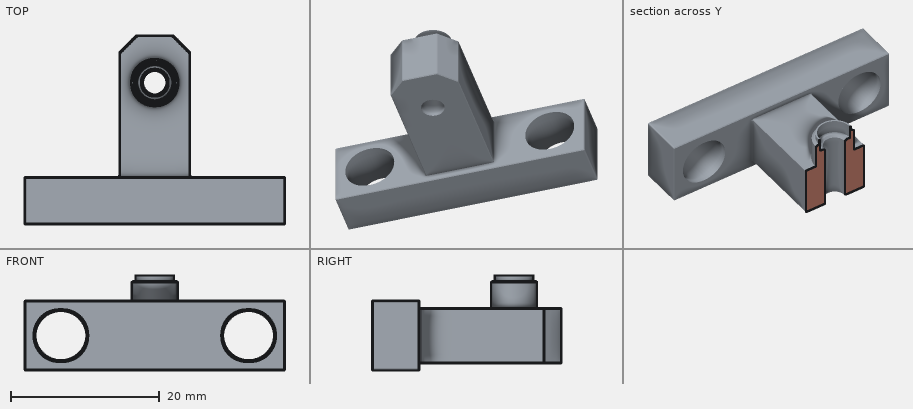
import cadquery as cq

BAR_LENGTH = 34.92
BAR_DEPTH = 6.35
BAR_HEIGHT = 9.37
BAR_CORNER_RADIUS = 0.2
EDGE_BREAK = 0.11

TOTAL_DEPTH = 25.4
ARM_WIDTH = 9.525
ARM_HEIGHT = 7.42
ARM_TIP_CHAMFER = 2.33
TIP_CORNER_BREAK = 0.06
ARM_ROOT_RADIUS = 0.25

SLOT_END_INSET = 4.86
SLOT_DIAMETER = 6.6
SLOT_STRETCH = 0.25
SLOT_CHAMFER = 0.25
CHAMFER_ANGLE = 45

TOTAL_HEIGHT = 12.78
BUSHING_TIP_INSET = 6.35
BUSHING_RADIUS = 3.1
BUSHING_CHAMFER_WIDTH = 0.29
BUSHING_CHAMFER_HEIGHT = 0.18
COLLAR_RADIUS = 2.6
COLLAR_HEIGHT = 0.76
COUNTERBORE_RADIUS = 2.38
COUNTERBORE_DEPTH = 1.95
BORE_RADIUS = 1.59
BORE_CHAMFER = 0.28
SEAT_BEVEL = 0.08

SLOT_X = BAR_LENGTH / 2 - SLOT_END_INSET
SLOT_LENGTH = SLOT_DIAMETER + SLOT_STRETCH
ARM_TOP = ARM_HEIGHT / 2
ARM_START = BAR_DEPTH / 2
BUSHING_Y = TOTAL_DEPTH - BUSHING_TIP_INSET
BUSHING_TOP = TOTAL_HEIGHT - BAR_HEIGHT / 2
SHOULDER_Z = BUSHING_TOP - COLLAR_HEIGHT
COUNTERBORE_FLOOR = BUSHING_TOP - COUNTERBORE_DEPTH


def make_bar():
    """Rectangular bar with rounded long corners, broken face edges and two slots."""
    bar = (
        cq.Workplane("XY")
        .box(BAR_LENGTH, BAR_DEPTH, BAR_HEIGHT)
        .translate((0, BAR_DEPTH / 2, 0))
        .edges("|Y")
        .fillet(BAR_CORNER_RADIUS)
        .faces("<Y or >Y")
        .edges()
        .chamfer(EDGE_BREAK)
    )
    return bar.cut(make_slots())


def make_slots():
    """Through slots along Y, flared by a 45 degree chamfer at the front face."""
    mouth_growth = 2 * SLOT_CHAMFER
    centres = [(-SLOT_X, 0), (SLOT_X, 0)]
    through = (
        cq.Workplane("XZ")
        .pushPoints(centres)
        .slot2D(SLOT_LENGTH, SLOT_DIAMETER)
        .extrude(-BAR_DEPTH)
    )
    mouths = (
        cq.Workplane("XZ")
        .pushPoints(centres)
        .slot2D(SLOT_LENGTH + mouth_growth, SLOT_DIAMETER + mouth_growth)
        .extrude(-SLOT_CHAMFER, taper=CHAMFER_ANGLE)
    )
    return through.union(mouths)


def make_arm():
    """Arm with a chamfered tip and broken edges, starting inside the bar so that it joins it."""
    half_width = ARM_WIDTH / 2
    half_tip_width = half_width - ARM_TIP_CHAMFER
    shoulder_y = TOTAL_DEPTH - ARM_TIP_CHAMFER
    return (
        cq.Workplane("XY", origin=(0, 0, -ARM_TOP))
        .moveTo(-half_width, ARM_START)
        .lineTo(half_width, ARM_START)
        .lineTo(half_width, shoulder_y)
        .lineTo(half_tip_width, TOTAL_DEPTH)
        .lineTo(-half_tip_width, TOTAL_DEPTH)
        .lineTo(-half_width, shoulder_y)
        .close()
        .extrude(ARM_HEIGHT)
        .edges("|Z and (not <Y)")
        .chamfer(TIP_CORNER_BREAK)
        .faces("<Z or >Z")
        .edges("not <Y")
        .chamfer(EDGE_BREAK)
    )


def make_root_fillets():
    """Concave fillets in the two corners between the arm's sides and the bar."""
    side = ARM_WIDTH / 2
    one_side = (
        cq.Workplane("XY", origin=(0, 0, EDGE_BREAK - ARM_TOP))
        .moveTo(side, BAR_DEPTH)
        .lineTo(side + ARM_ROOT_RADIUS, BAR_DEPTH)
        .radiusArc((side, BAR_DEPTH + ARM_ROOT_RADIUS), ARM_ROOT_RADIUS)
        .close()
        .extrude(ARM_HEIGHT - 2 * EDGE_BREAK)
    )
    return one_side.union(one_side.mirror("YZ"))


def make_bushing():
    """Stepped bushing, starting inside the arm so that it joins it."""
    profile = [
        (0, 0),
        (BUSHING_RADIUS, 0),
        (BUSHING_RADIUS, SHOULDER_Z - BUSHING_CHAMFER_HEIGHT),
        (BUSHING_RADIUS - BUSHING_CHAMFER_WIDTH, SHOULDER_Z),
        (COLLAR_RADIUS, SHOULDER_Z),
        (COLLAR_RADIUS, BUSHING_TOP),
        (0, BUSHING_TOP),
    ]
    return revolve_at_bushing(profile)


def make_bushing_bore():
    """Counterbore, chamfer and through bore down the bushing axis."""
    profile = [
        (0, -ARM_TOP),
        (BORE_RADIUS, -ARM_TOP),
        (BORE_RADIUS, COUNTERBORE_FLOOR - BORE_CHAMFER),
        (BORE_RADIUS + BORE_CHAMFER, COUNTERBORE_FLOOR),
        (COUNTERBORE_RADIUS, COUNTERBORE_FLOOR),
        (COUNTERBORE_RADIUS, BUSHING_TOP),
        (0, BUSHING_TOP),
    ]
    return revolve_at_bushing(profile)


def make_seat_bevel():
    """Shallow bevel in the arm's top face, around the foot of the bushing."""
    profile = [
        (0, ARM_TOP - SEAT_BEVEL),
        (BUSHING_RADIUS, ARM_TOP - SEAT_BEVEL),
        (BUSHING_RADIUS + SEAT_BEVEL, ARM_TOP),
        (0, ARM_TOP),
    ]
    return revolve_at_bushing(profile)


def revolve_at_bushing(profile):
    """Solid of revolution about the bushing axis from (radius, z) points."""
    return (
        cq.Workplane("XZ")
        .polyline(profile)
        .close()
        .revolve(360, (0, 0, 0), (0, 1, 0))
        .translate((0, BUSHING_Y, 0))
    )


result = (
    make_bar()
    .union(make_arm())
    .union(make_root_fillets())
    .cut(make_seat_bevel())
    .union(make_bushing())
    .cut(make_bushing_bore())
)